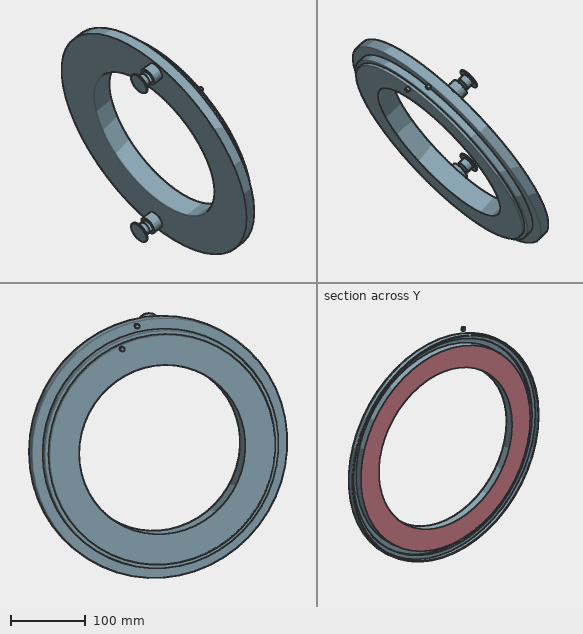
import cadquery as cq


BORE_DIAMETER = 229.5
FRONT_DIAMETER = 353.5
FRONT_THICKNESS = 15.0
MIDDLE_DIAMETER = 323.5
MIDDLE_THICKNESS = 10.2
REAR_DIAMETER = 312.5
REAR_THICKNESS = 4.2
EDGE_FILLET = 0.5

WALL = 2.0
CAVITY_INNER_DIAMETER = 293.3

NECK_DIAMETER = 25.0
NECK_LENGTH = 15.0
NECK_X = 3.2
NECK_Z = 160.0

PLUG_DIAMETER = 17.5
PLUG_LENGTH = 10.0
HEAD_DIAMETER = 30.0
HEAD_THICKNESS = 2.0
CAP_GAP = 5.0

PIN_DIAMETER = 6.0
PIN_LENGTH = 5.0
FRONT_TIER_PIN_X = 31.8
FRONT_TIER_PIN_Z = 167.0
REAR_TIER_PIN_X = 56.2
REAR_TIER_PIN_Z = 139.5

FRONT_TIER_END = FRONT_THICKNESS
MIDDLE_TIER_END = FRONT_TIER_END + MIDDLE_THICKNESS
REAR_TIER_END = MIDDLE_TIER_END + REAR_THICKNESS

TIERS = [
    (FRONT_DIAMETER, FRONT_TIER_END),
    (MIDDLE_DIAMETER, MIDDLE_TIER_END),
    (REAR_DIAMETER, REAR_TIER_END),
]
NECK_POSITIONS = [(NECK_X, NECK_Z), (NECK_X, -NECK_Z)]
PIN_POSITIONS = [
    (FRONT_TIER_PIN_X, FRONT_TIER_END, FRONT_TIER_PIN_Z),
    (REAR_TIER_PIN_X, REAR_TIER_END, REAR_TIER_PIN_Z),
]


def cylinder(diameter, y_start, y_end, x=0, z=0):
    """Cylinder along Y between two Y positions."""
    plane = cq.Workplane("XZ", origin=(x, y_start, z))
    return plane.circle(diameter / 2).extrude(y_start - y_end)


def make_tiers():
    """Solid three-tier ring with a plain bore and its sharp rims rounded off."""
    ring = cylinder(FRONT_DIAMETER, 0, FRONT_TIER_END)
    for diameter, y_end in TIERS[1:]:
        ring = ring.union(cylinder(diameter, 0, y_end))
    ring = ring.cut(cylinder(BORE_DIAMETER, 0, REAR_TIER_END))

    smallest_circle = cq.selectors.RadiusNthSelector(0)
    ring = ring.faces("<Y").edges(smallest_circle).fillet(EDGE_FILLET)
    for diameter, y_end in TIERS:
        rim = [
            edge for edge in ring.edges("%CIRCLE").vals()
            if abs(edge.Center().y - y_end) < EDGE_FILLET / 2
        ]
        ring = ring.newObject([max(rim, key=lambda edge: edge.radius())]).fillet(EDGE_FILLET)
    return ring


def make_cavity():
    """Closed annular space that follows the tiers one wall thickness inside them."""
    cavity = cylinder(FRONT_DIAMETER - 2 * WALL, WALL, FRONT_TIER_END - WALL)
    for diameter, y_end in TIERS[1:]:
        cavity = cavity.union(cylinder(diameter - 2 * WALL, WALL, y_end - WALL))
    return cavity.cut(cylinder(CAVITY_INNER_DIAMETER, 0, REAR_TIER_END))


def make_ring():
    """Hollow ring with two open necks that lead into its cavity."""
    ring = make_tiers().cut(make_cavity())
    for x, z in NECK_POSITIONS:
        ring = ring.union(cylinder(NECK_DIAMETER, -NECK_LENGTH, 0, x, z))
        ring = ring.cut(cylinder(PLUG_DIAMETER, -NECK_LENGTH, WALL, x, z))
    return ring


def make_cap(x, z):
    """Cap with a thin round head and a plug that fits the neck opening."""
    plug_end = -NECK_LENGTH - CAP_GAP
    plug_start = plug_end - PLUG_LENGTH
    plug = cylinder(PLUG_DIAMETER, plug_start, plug_end, x, z)
    head = cylinder(HEAD_DIAMETER, plug_start - HEAD_THICKNESS, plug_start, x, z)
    return plug.union(head)


def make_pin(x, y, z):
    """Plain pin that stands on a rear face of the ring."""
    return cylinder(PIN_DIAMETER, y, y + PIN_LENGTH, x, z)


ring = make_ring()
caps = [make_cap(x, z) for x, z in NECK_POSITIONS]
pins = [make_pin(x, y, z) for x, y, z in PIN_POSITIONS]

result = cq.Compound.makeCompound(
    [ring.val(), *[cap.val() for cap in caps], *[pin.val() for pin in pins]]
)